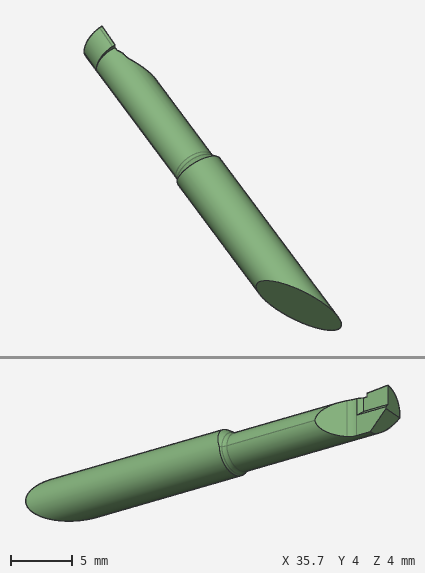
import cadquery as cq
import math

length = 35.7
shank_radius = 2.0
shank_end_angle = 30.0

neck_radius = 1.8
upper_arc_drop = 0.32
neck_end = 15.18
shoulder_angle = 30.0
shoulder_blend_radius = 0.85

recess_y = 0.25
recess_length = 3.45
recess_angle = 30.0
recess_blend_radius = 1.6

tip_length = 2.18
tip_drop = 0.18
tip_top = 1.95
land_width = 0.268
land_drop = 0.05
crease_z = -upper_arc_drop / 2
crease_y = -math.sqrt(neck_radius**2 - crease_z**2)
tip_arc_mid_y = -1.07
tip_arc_mid_z = 1.5
end_relief = 0.18

rake_y = -0.018
rake_step_top = 0.3
rake_step_bottom = 0.0
rake_length = 2.5

margin = 0.7


def neck_round(axis_z):
    """Neck of revolution, blending into a conical shoulder wider than the shank."""
    angle = math.radians(shoulder_angle)
    half = angle / 2

    def blend_point(turn):
        return (
            neck_end + shoulder_blend_radius * math.sin(turn),
            neck_radius + shoulder_blend_radius * (1 - math.cos(turn)),
        )

    cone_start_x, cone_start_r = blend_point(angle)
    cone_rise = shank_radius + upper_arc_drop + margin - cone_start_r
    cone_end_x = cone_start_x + cone_rise / math.tan(angle)
    return (
        cq.Workplane("XZ")
        .lineTo(0, neck_radius)
        .lineTo(neck_end, neck_radius)
        .threePointArc(blend_point(half), (cone_start_x, cone_start_r))
        .lineTo(cone_end_x, cone_start_r + cone_rise)
        .lineTo(length, cone_start_r + cone_rise)
        .lineTo(length, 0)
        .close()
        .revolve(360, (0, 0, 0), (1, 0, 0))
        .translate((0, 0, axis_z))
    )


def tip_section(x, z_shift):
    """Closed YZ outline of the tip with a narrow land along its top."""
    return (
        cq.Workplane("YZ", origin=(x, 0, z_shift))
        .moveTo(recess_y, crease_z)
        .lineTo(recess_y, tip_top)
        .lineTo(0, tip_top)
        .lineTo(-land_width, tip_top - land_drop)
        .threePointArc((tip_arc_mid_y, tip_arc_mid_z), (crease_y, crease_z))
        .close()
        .val()
    )


def prism_z(points):
    """Prism of an XY outline that spans the full height of the part."""
    height = 2 * (shank_radius + margin)
    return cq.Workplane("XY").polyline(points).close().extrude(height / 2, both=True)


def recess_cutter():
    outside = shank_radius + margin
    run = (outside - recess_y) / math.tan(math.radians(recess_angle))
    cutter = prism_z([
        (-margin, recess_y),
        (recess_length, recess_y),
        (recess_length + run, outside),
        (-margin, outside),
    ])
    corner = cq.selectors.NearestToPointSelector((recess_length, recess_y, 0))
    return cutter.edges("|Z").edges(corner).fillet(recess_blend_radius)


def rake_cutter():
    """Groove with a sloping floor, leaving along the same angle as the recess."""
    groove = (
        cq.Workplane("YZ", origin=(-margin, 0, 0))
        .moveTo(rake_y, shank_radius + margin)
        .lineTo(rake_y, rake_step_top)
        .lineTo(recess_y, rake_step_bottom)
        .lineTo(shank_radius, rake_step_bottom)
        .lineTo(shank_radius, shank_radius + margin)
        .close()
        .extrude(length / 2)
    )
    run = (shank_radius - rake_y) / math.tan(math.radians(recess_angle))
    runout = prism_z([
        (-margin, rake_y),
        (rake_length, rake_y),
        (rake_length + run, shank_radius),
        (-margin, shank_radius),
    ])
    return groove.intersect(runout)


def front_chamfer_cutter():
    """45 degree clearance below the tip."""
    depth = shank_radius + margin
    return (
        cq.Workplane("XZ")
        .polyline([
            (-margin, crease_z + margin),
            (-margin, crease_z - depth),
            (depth, crease_z - depth),
        ])
        .close()
        .extrude(depth, both=True)
    )


def end_relief_cutter():
    slope = end_relief / (shank_radius + recess_y)
    outside = shank_radius + margin
    return prism_z([
        (0, recess_y),
        (slope * (outside + recess_y), -outside),
        (-margin, -outside),
        (-margin, recess_y),
    ])


def shank_end_cutter():
    run = 2 * shank_radius / math.tan(math.radians(shank_end_angle))
    return prism_z([
        (length, shank_radius),
        (length - 2 * run, -3 * shank_radius),
        (length + margin, -3 * shank_radius),
        (length + margin, shank_radius),
    ])


shank = cq.Workplane("YZ").circle(shank_radius).extrude(length)
bar = shank.intersect(neck_round(0)).intersect(neck_round(-upper_arc_drop))
bar = bar.cut(recess_cutter())

tip = cq.Solid.makeLoft([tip_section(0, 0), tip_section(tip_length, -tip_drop)], True)
bar = bar.union(cq.Workplane(tip))

result = (
    bar.cut(rake_cutter())
    .cut(front_chamfer_cutter())
    .cut(end_relief_cutter())
    .cut(shank_end_cutter())
)